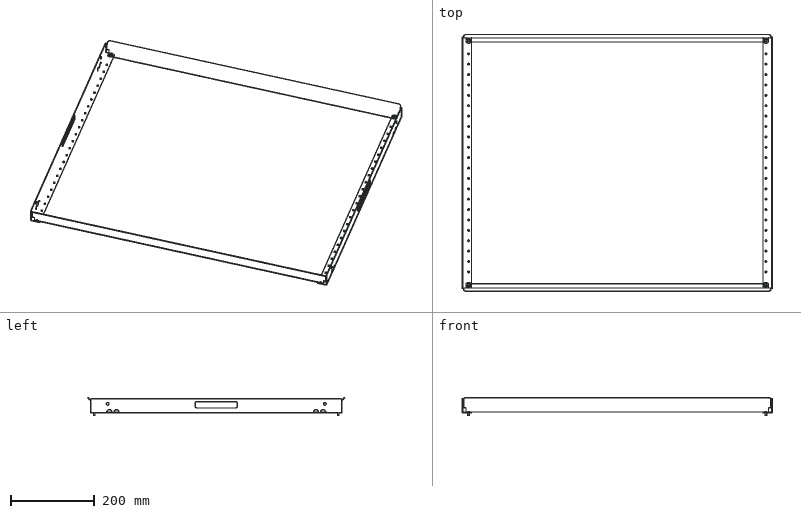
import cadquery as cq
import math

LENGTH = 742.5
WIDTH = 615.5
SIDE_LENGTH = 601.0
HEIGHT = 43.0

SHEET = 1.6
BEND_RADIUS = 1.0
LIP_BEND_RADIUS = 3.0

SIDE_HEIGHT = 34.0
SIDE_BOTTOM = 6.0
SIDE_FLANGE = 23.0
SIDE_CORNER_RADIUS = 3.0
FLOOR_TOP = SIDE_BOTTOM + SHEET

ROW_COUNT = 22
ROW_SPAN = 522.0
ROW_HOLE_DIAMETER = 4.0
ROW_INSET = 15.5

HANDLE_LENGTH = 100.0
HANDLE_HEIGHT = 14.0
HANDLE_Z = 25.0
HANDLE_CORNER_RADIUS = 3.0
WALL_HOLE_DIAMETER = 6.0
WALL_HOLE_Y = 260.0
WALL_HOLE_Z = 27.5
HALF_ROUND_RADIUS = 6.0
HALF_ROUND_SPACING = 17.0
HALF_ROUND_Y = 247.0

END_GAP = 2.0
CROSS_LENGTH = LENGTH - 2 * (SHEET + END_GAP)
CROSS_FLANGE = 12.0
LIP_ANGLE = math.radians(45)
LIP_OVERHANG = (WIDTH - SIDE_LENGTH) / 2
LIP_CORNER_CHAMFER = 4.0
NOTCH_INSET = 9.0
NOTCH_HEIGHT = 10.5

SCREW_X = LENGTH / 2 - ROW_INSET
SCREW_Y = 292.0
SHANK_DIAMETER = 4.5
HEAD_DIAMETER = 12.0
HEAD_HEIGHT = 3.0
SOCKET_DIAMETER = 6.0
SOCKET_DEPTH = 1.5

SCREW_POSITIONS = [(x, y) for x in (-SCREW_X, SCREW_X) for y in (-SCREW_Y, SCREW_Y)]


def round_fold(body, direction, inner, outer, bend_radius):
    """Round the concave (inner) and convex (outer) edge of one fold in the sheet."""
    for point, radius in ((inner, bend_radius), (outer, bend_radius + SHEET)):
        body = body.edges(direction).edges(cq.NearestToPointSelector(point)).fillet(radius)
    return body


def make_side_rail():
    """Side rail at the -X end."""
    x_out = -LENGTH / 2
    x_in = x_out + SHEET
    top = SIDE_BOTTOM + SIDE_HEIGHT
    flange_edge = x_out + SIDE_FLANGE
    section = [
        (x_out, SIDE_BOTTOM),
        (flange_edge, SIDE_BOTTOM),
        (flange_edge, FLOOR_TOP),
        (x_in, FLOOR_TOP),
        (x_in, top),
        (x_out, top),
    ]
    rail = cq.Workplane("XZ").polyline(section).close().extrude(SIDE_LENGTH / 2, both=True)
    rail = round_fold(rail, "|Y", (x_in, 0, FLOOR_TOP), (x_out, 0, SIDE_BOTTOM), BEND_RADIUS)
    rail = rail.edges("|X").edges(">Z").fillet(SIDE_CORNER_RADIUS)
    return rail.cut(side_wall_openings()).cut(side_flange_holes())


def side_wall_openings():
    """Handle slot, round holes and half-round openings through the wall of the -X side rail."""
    wall = cq.Workplane("YZ", origin=(-LENGTH / 2, 0, 0))
    depth = SHEET + BEND_RADIUS
    handle = wall.center(0, HANDLE_Z).rect(HANDLE_LENGTH, HANDLE_HEIGHT).extrude(depth)
    openings = handle.edges("|X").fillet(HANDLE_CORNER_RADIUS)
    for end in (-1, 1):
        hole = wall.center(end * WALL_HOLE_Y, WALL_HOLE_Z).circle(WALL_HOLE_DIAMETER / 2)
        openings = openings.union(hole.extrude(depth))
        for offset in (-HALF_ROUND_SPACING / 2, HALF_ROUND_SPACING / 2):
            half_round = (
                wall.center(end * HALF_ROUND_Y + offset, FLOOR_TOP)
                .moveTo(-HALF_ROUND_RADIUS, 0)
                .threePointArc((0, HALF_ROUND_RADIUS), (HALF_ROUND_RADIUS, 0))
                .close()
            )
            openings = openings.union(half_round.extrude(depth))
    return openings


def side_flange_holes():
    """Hole row and the two screw holes through the flange of the -X side rail."""
    flange = cq.Workplane("XY").center(-LENGTH / 2 + ROW_INSET, 0)
    pitch = ROW_SPAN / (ROW_COUNT - 1)
    row = flange.rarray(7.5, pitch, 1, ROW_COUNT).circle(ROW_HOLE_DIAMETER / 2)
    return row.extrude(HEIGHT).union(screw_holes())


def screw_holes():
    """Cylinders that cut the hole for each of the four screws."""
    return cq.Workplane("XY").pushPoints(SCREW_POSITIONS).circle(SHANK_DIAMETER / 2).extrude(HEIGHT)


def make_cross_rail():
    """Cross rail at the -Y end."""
    y_out = -SIDE_LENGTH / 2
    y_in = y_out + SHEET
    flange_edge = y_out + CROSS_FLANGE
    flange_top = FLOOR_TOP + SHEET
    tip_y = y_out - LIP_OVERHANG
    tip_step = SHEET * math.sin(LIP_ANGLE)
    tip_z = HEIGHT - tip_step
    fold_out = tip_z - LIP_OVERHANG / math.tan(LIP_ANGLE)
    fold_in = fold_out + SHEET * math.tan(LIP_ANGLE / 2)
    section = [
        (y_out, FLOOR_TOP),
        (flange_edge, FLOOR_TOP),
        (flange_edge, flange_top),
        (y_in, flange_top),
        (y_in, fold_in),
        (tip_y + tip_step, HEIGHT),
        (tip_y, tip_z),
        (y_out, fold_out),
    ]
    rail = cq.Workplane("YZ").polyline(section).close().extrude(CROSS_LENGTH / 2, both=True)
    rail = round_fold(rail, "|X", (0, y_in, flange_top), (0, y_out, FLOOR_TOP), BEND_RADIUS)
    rail = round_fold(rail, "|X", (0, y_out, fold_out), (0, y_in, fold_in), LIP_BEND_RADIUS)
    lip_normal = cq.Vector(0, math.cos(LIP_ANGLE), math.sin(LIP_ANGLE))
    rail = rail.edges(cq.ParallelDirSelector(lip_normal)).chamfer(LIP_CORNER_CHAMFER)
    return rail.cut(cross_rail_notches()).cut(screw_holes())


def cross_rail_notches():
    """Blocks that clear the lower corners of the -Y cross rail."""
    width = NOTCH_INSET - SHEET - END_GAP
    centres = [(end * (CROSS_LENGTH - width) / 2, -SIDE_LENGTH / 2) for end in (-1, 1)]
    return (
        cq.Workplane("XY", origin=(0, 0, FLOOR_TOP))
        .pushPoints(centres)
        .rect(width, 2 * CROSS_FLANGE)
        .extrude(NOTCH_HEIGHT)
    )


def make_screw(x, y):
    """Screw with its head on the cross rail flange and its tip at Z = 0."""
    seat = FLOOR_TOP + SHEET
    shank = cq.Workplane("XY").center(x, y).circle(SHANK_DIAMETER / 2).extrude(seat)
    head = cq.Workplane("XY", origin=(x, y, seat)).circle(HEAD_DIAMETER / 2).extrude(HEAD_HEIGHT)
    socket_floor = seat + HEAD_HEIGHT - SOCKET_DEPTH
    socket = cq.Workplane("XY", origin=(x, y, socket_floor)).circle(SOCKET_DIAMETER / 2)
    return shank.union(head).cut(socket.extrude(SOCKET_DEPTH))


side_rail = make_side_rail()
cross_rail = make_cross_rail()
side_rails = [side_rail, side_rail.mirror("YZ")]
cross_rails = [cross_rail, cross_rail.mirror("XZ")]
screws = [make_screw(x, y) for x, y in SCREW_POSITIONS]

result = cq.Compound.makeCompound([body.val() for body in side_rails + cross_rails + screws])